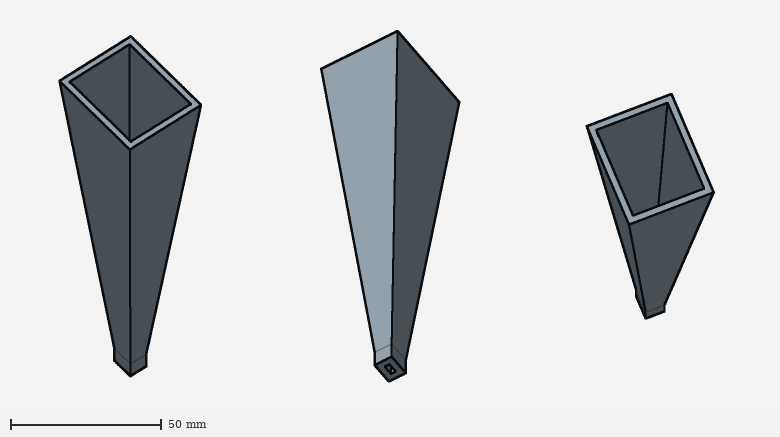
import cadquery as cq

total_height = 144.4
throat_height = 6.5
wall = 2.5

mouth_length = 37.5
mouth_width = 30.5
bore_length = 3.8
bore_width = 1.9


def horn_body(mouth_x, mouth_y, throat_x, throat_y):
    """Solid throat block with a straight-sided flare on top, base at Z = 0."""
    throat = cq.Workplane("XY").rect(throat_x, throat_y).extrude(throat_height)
    flare = (
        cq.Workplane("XY")
        .workplane(offset=throat_height)
        .rect(throat_x, throat_y)
        .workplane(offset=total_height - throat_height)
        .rect(mouth_x, mouth_y)
        .loft(ruled=True)
    )
    return throat.union(flare)


outer = horn_body(
    mouth_length,
    mouth_width,
    bore_length + 2 * wall,
    bore_width + 2 * wall,
)
passage = horn_body(
    mouth_length - 2 * wall,
    mouth_width - 2 * wall,
    bore_length,
    bore_width,
)

result = outer.cut(passage)